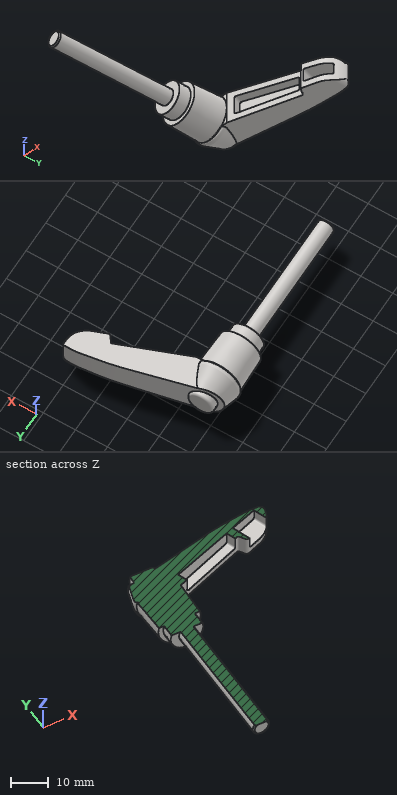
import cadquery as cq
import math


stud_radius = 2.5
stud_length = 40.0
stud_chamfer = 0.4
shoulder_radius = 5.0
shoulder_height = 4.0
button_radius = 4.0
button_top = 24.5
button_fillet = 0.8

skirt_bottom_radius = 6.5
skirt_top_radius = 6.85
collar_bottom = 15.0
collar_radius = 7.25
collar_fillet = 0.75
cone_bottom = 16.5
cone_angle = 15.5
cone_height = 10.0

reach = 40.0
handle_top = 30.0
top_slope = math.tan(math.radians(13.0))
top_height_at_axis = 22.85
top_line_end_x = 18.5
back_arc_end = (33.0, 29.67)
back_arc_bow = 0.26
crest = (36.5, handle_top)
underside_angle = 20.0
notch_angle = -56.0
notch_x = 28.74
notch_radius = 0.45
heel_x = 30.35
heel_radius = 1.0
toe_radius = 7.45
tip_angle = 83.5
tip_drop = 0.15
tip_radius = 1.25

half_width_at_axis = 5.23
width_slope = 0.0366
tip_corner_radius = 1.6
pocket_wall = 2.03
pocket_depth = 3.0
pocket_corner_radius = 0.6
pocket_cut_length = 8.0
pocket_spans = ((8.56, 28.39), (31.07, 39.66))


def half_width(x):
    """Half width of the handle at distance x from the clamp axis."""
    return half_width_at_axis - width_slope * x


def top_line(x):
    """Height of the sloping plane shared by the hub top and the handle top."""
    return top_height_at_axis + top_slope * x


def along(point, angle, distance):
    """Point reached from another one at an angle in degrees."""
    turn = math.radians(angle)
    return point[0] + distance * math.cos(turn), point[1] + distance * math.sin(turn)


def rounded_corner(before, corner, after, radius):
    """Start, middle and end of the arc that rounds a corner between two straight lines."""
    angle_in = math.degrees(math.atan2(before[1] - corner[1], before[0] - corner[0]))
    angle_out = math.degrees(math.atan2(after[1] - corner[1], after[0] - corner[0]))
    opening = (angle_out - angle_in + 180.0) % 360.0 - 180.0
    half_opening = math.radians(abs(opening) / 2.0)
    setback = radius / math.tan(half_opening)
    to_middle = radius / math.sin(half_opening) - radius
    start = along(corner, angle_in, setback)
    middle = along(corner, angle_in + opening / 2.0, to_middle)
    end = along(corner, angle_out, setback)
    return start, middle, end


underside_slope = math.tan(math.radians(underside_angle))
notch_slope = math.tan(math.radians(notch_angle))
underside_start = (skirt_top_radius, collar_bottom)
notch_corner = (notch_x, collar_bottom + underside_slope * (notch_x - skirt_top_radius))
heel_corner = (heel_x, notch_corner[1] + notch_slope * (heel_x - notch_x))
tip_turn = math.radians(tip_angle)
tip_slope = math.tan(tip_turn)
tip_x = reach - tip_radius + tip_radius * (1 + math.cos(tip_turn)) / math.sin(tip_turn)
tip_corner = (tip_x, handle_top - tip_drop)
toe_x = (heel_corner[1] - tip_corner[1] + tip_slope * tip_x - underside_slope * heel_x) / (
    tip_slope - underside_slope
)
toe_corner = (toe_x, heel_corner[1] + underside_slope * (toe_x - heel_x))

pocket_floor_rise = pocket_depth / math.cos(math.radians(underside_angle))
floor_height_at_axis = collar_bottom - underside_slope * skirt_top_radius + pocket_floor_rise


def make_spindle():
    stud = cq.Workplane("XZ").circle(stud_radius).extrude(stud_length)
    stud = stud.faces("<Y").chamfer(stud_chamfer)
    shoulder = cq.Workplane("XZ").circle(shoulder_radius).extrude(-shoulder_height)
    button = cq.Workplane("XZ").circle(button_radius).extrude(-button_top)
    button = button.faces(">Y").edges().fillet(button_fillet)
    return stud.union(shoulder).union(button)


def make_hub():
    skirt = (
        cq.Workplane("XY")
        .moveTo(0, shoulder_height)
        .lineTo(skirt_bottom_radius, shoulder_height)
        .lineTo(skirt_top_radius, collar_bottom)
        .lineTo(0, collar_bottom)
        .close()
        .revolve(360, (0, 0, 0), (0, 1, 0))
    )
    cone_top = cone_bottom + cone_height
    cone_top_radius = collar_radius - cone_height * math.tan(math.radians(cone_angle))
    collar_arc_center = (collar_radius - collar_fillet, collar_bottom + collar_fillet)
    cone = (
        cq.Workplane("XY")
        .moveTo(0, collar_bottom)
        .lineTo(collar_arc_center[0], collar_bottom)
        .threePointArc(along(collar_arc_center, -45, collar_fillet), (collar_radius, collar_arc_center[1]))
        .lineTo(collar_radius, cone_bottom)
        .lineTo(cone_top_radius, cone_top)
        .lineTo(0, cone_top)
        .close()
        .revolve(360, (0, 0, 0), (0, 1, 0))
    )
    side = 2 * collar_radius
    above_top_plane = (
        cq.Workplane("XY")
        .polyline([(-side, top_line(-side)), (side, top_line(side)), (side, reach), (-side, reach)])
        .close()
        .extrude(side, both=True)
    )
    return skirt.union(cone.cut(above_top_plane))


def make_handle_profile():
    top_line_end = (top_line_end_x, top_line(top_line_end_x))
    back_arc_middle = (
        (top_line_end[0] + back_arc_end[0]) / 2,
        (top_line_end[1] + back_arc_end[1]) / 2 + back_arc_bow,
    )
    notch_start, notch_middle, notch_end = rounded_corner(
        underside_start, notch_corner, heel_corner, notch_radius
    )
    heel_start, heel_middle, heel_end = rounded_corner(notch_corner, heel_corner, toe_corner, heel_radius)
    toe_start, toe_middle, toe_end = rounded_corner(heel_corner, toe_corner, tip_corner, toe_radius)
    tip_start, tip_middle, tip_end = rounded_corner(toe_corner, tip_corner, crest, tip_radius)
    outline = (
        cq.Workplane("XY")
        .moveTo(0, collar_bottom)
        .lineTo(*underside_start)
        .lineTo(*notch_start)
        .threePointArc(notch_middle, notch_end)
        .lineTo(*heel_start)
        .threePointArc(heel_middle, heel_end)
        .lineTo(*toe_start)
        .threePointArc(toe_middle, toe_end)
        .lineTo(*tip_start)
        .threePointArc(tip_middle, tip_end)
        .threePointArc(crest, back_arc_end)
        .threePointArc(back_arc_middle, top_line_end)
        .lineTo(0, top_line(0))
        .close()
    )
    return outline.extrude(half_width_at_axis, both=True)


def make_handle_taper():
    """Tapered plan shape of the handle with its rounded tip corners, standing along Y."""
    plan = [
        (0, -half_width(0)),
        (reach, -half_width(reach)),
        (reach, half_width(reach)),
        (0, half_width(0)),
    ]
    taper = cq.Workplane("XZ").polyline(plan).close().extrude(-reach)
    return taper.faces(">X").edges("|Y").fillet(tip_corner_radius)


def make_pocket(start, end):
    """Tapered pocket, square to the underside, running from the floor plane out through the opening.

    The ends are distances from the clamp axis measured along the floor.
    """
    floor_plane = cq.Plane(
        origin=(0, floor_height_at_axis, 0),
        xDir=along((0, 0), underside_angle, 1) + (0,),
        normal=along((0, 0), underside_angle - 90, 1) + (0,),
    )
    start_half = half_width(start) - pocket_wall
    end_half = half_width(end) - pocket_wall
    corners = [(start, -start_half), (end, -end_half), (end, end_half), (start, start_half)]
    pocket = cq.Workplane(floor_plane).polyline(corners).close().extrude(pocket_cut_length)
    return pocket.edges(cq.selectors.ParallelDirSelector(floor_plane.zDir)).fillet(pocket_corner_radius)


def make_handle():
    handle = make_handle_profile().intersect(make_handle_taper())
    for start, end in pocket_spans:
        handle = handle.cut(make_pocket(start, end))
    return handle


result = make_spindle().union(make_hub()).union(make_handle())